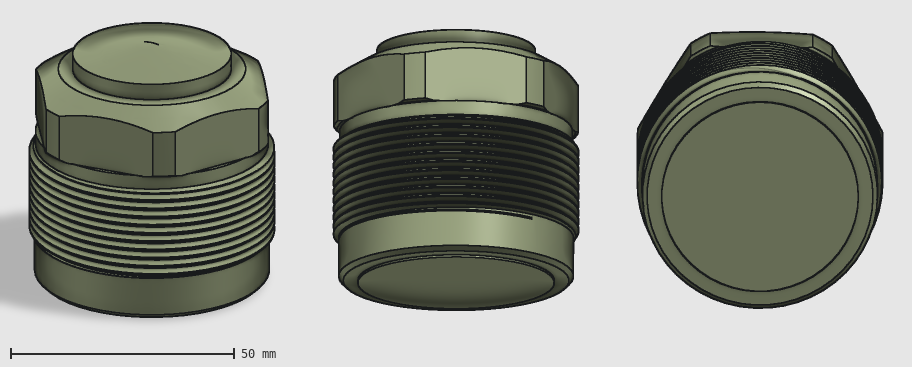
import cadquery as cq
import math

pad_radius = 22.0
pad_height = 0.5
barrel_radius = 26.3
barrel_edge_chamfer = 1.0

crest_radius = 27.5
root_radius = 26.15
neck_radius = 26.1
thread_bottom = 10.4
thread_top = 32.0
end_chamfer_height = 0.9
groove_start = 9.5
groove_rise = 23.95
groove_turns = 12
pitch = groove_rise / groove_turns
root_flat = 0.15
flank_angle = 30
groove_overcut = 0.1

hex_across_flats = 50.0
head_corner_radius = crest_radius
head_bottom = 35.2
head_top = 50.2
head_top_radius = 21.0
head_bevel_start = 46.3
underside_radius = 26.8
underside_chamfer_height = 0.45

button_radius = 17.8
dome_base = 53.95
dome_top = 56.6
dome_tip_radius = 5.1


def revolve_profile(profile):
    """Close a profile drawn in the radius-height plane and spin it about Z."""
    return profile.close().revolve(360, (0, 0, 0), (0, 1, 0))


def make_barrel():
    """Pad, barrel, unthreaded screw blank and neck, up to the head."""
    profile = (
        cq.Workplane("XZ")
        .lineTo(pad_radius, 0)
        .lineTo(pad_radius, pad_height)
        .lineTo(barrel_radius - barrel_edge_chamfer, pad_height)
        .lineTo(barrel_radius, pad_height + barrel_edge_chamfer)
        .lineTo(barrel_radius, thread_bottom)
        .lineTo(crest_radius, thread_bottom + end_chamfer_height)
        .lineTo(crest_radius, thread_top - end_chamfer_height)
        .lineTo(neck_radius, thread_top)
        .lineTo(neck_radius, head_bottom)
        .lineTo(0, head_bottom)
    )
    return revolve_profile(profile)


def make_thread_groove():
    """V-shaped left-hand helical groove that starts on the -X side."""
    helix = cq.Wire.makeHelix(pitch, groove_rise, root_radius, lefthand=True)
    outer_radius = crest_radius + groove_overcut
    root_half_width = root_flat / 2
    flank_spread = (outer_radius - root_radius) * math.tan(math.radians(flank_angle))
    outer_half_width = root_half_width + flank_spread
    groove = (
        cq.Workplane("XZ")
        .moveTo(root_radius, -root_half_width)
        .lineTo(outer_radius, -outer_half_width)
        .lineTo(outer_radius, outer_half_width)
        .lineTo(root_radius, root_half_width)
        .close()
        .sweep(cq.Workplane(helix), isFrenet=True)
    )
    return groove.rotate((0, 0, 0), (0, 0, 1), 180).translate((0, 0, groove_start))


def make_head():
    """Hexagon with flats facing +Y and -Y, its corners turned and bevelled."""
    across_corners = hex_across_flats / math.cos(math.pi / 6)
    hexagon = (
        cq.Workplane("XY")
        .workplane(offset=head_bottom)
        .polygon(6, across_corners)
        .extrude(head_top - head_bottom)
    )
    turned_envelope = (
        cq.Workplane("XZ")
        .moveTo(0, head_bottom)
        .lineTo(underside_radius, head_bottom)
        .lineTo(head_corner_radius, head_bottom + underside_chamfer_height)
        .lineTo(head_corner_radius, head_bevel_start)
        .lineTo(head_top_radius, head_top)
        .lineTo(0, head_top)
    )
    return hexagon.intersect(revolve_profile(turned_envelope))


def make_housing():
    """Threaded barrel and hexagonal head as one solid."""
    threaded_barrel = make_barrel().cut(make_thread_groove())
    return cq.Workplane(threaded_barrel.union(make_head()).solids().val())


def make_button():
    """Short cylinder with a shallow, nearly conical top that rounds over smoothly at the tip."""
    slope = (dome_top - dome_base) / (button_radius - dome_tip_radius / 2)
    tip_base = dome_base + slope * (button_radius - dome_tip_radius)
    profile = (
        cq.Workplane("XZ")
        .moveTo(0, head_top)
        .lineTo(button_radius, head_top)
        .lineTo(button_radius, dome_base)
        .spline(
            [(dome_tip_radius, tip_base), (0, dome_top)],
            tangents=[(-1, slope), (-1, 0)],
            includeCurrent=True,
        )
    )
    return revolve_profile(profile)


housing = make_housing()
button = make_button()
result = cq.Compound.makeCompound([housing.val(), button.val()])